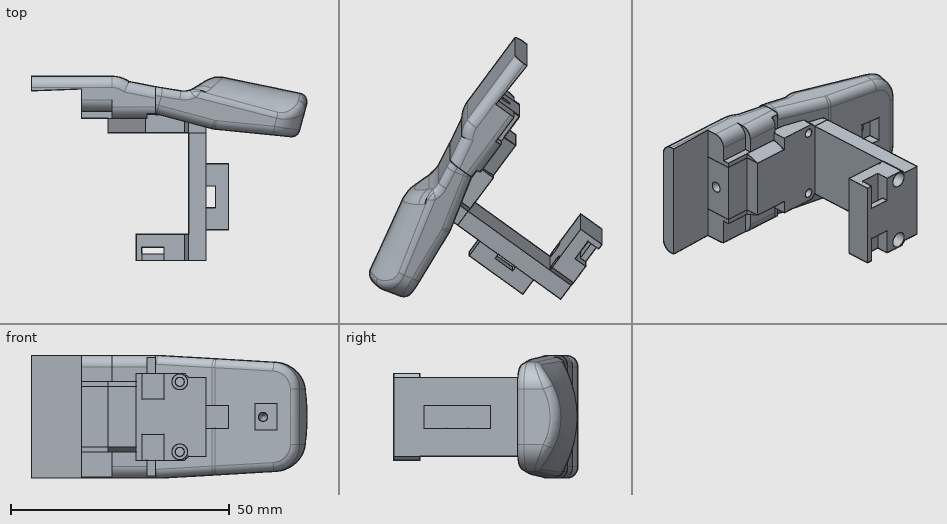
import cadquery as cq
import math

SEAM_X = 28.35
FULL_WIDTH = 28.0
HALF_WIDTH = FULL_WIDTH / 2
BACK_Y = 42.1
SEAM_BACK_Y = 39.7
SEAM_FRONT_Y = 33.55
GRIP_FRONT_Y = 32.5
MOUNT_FRONT_Y = 29.15

FLANGE_LENGTH = 11.4
FLANGE_TIP_Y = 38.7
FLANGE_ROOT_Y = 39.15
BACK_FLAT_LENGTH = 18.45
BACK_SLOPE_X = 22.3
BACK_SLOPE_Y = 40.9
GRIP_FILLET = 5.2 / 2
NOTCH_LENGTH = 1.9
STEP_LENGTH = 7.05
STEP_END_X = FLANGE_LENGTH + STEP_LENGTH
STEP_Y = 34.05
RAIL_HALF_WIDTH = 8.05

TONGUE_HALF_WIDTH = 6.9
TONGUE_HOLE_DIAMETER = 2.5
TONGUE_HOLE_Y = 36.45
TONGUE_HOLE_DEPTH = 7.55

TILT = 15.0
HEAD_LENGTH = 32.8
TAPER_START = 0.25
TAPER_ANGLE = 3.3
CORNER_RADIUS = 6.2
KNEE_U = 13.65
KNEE_ANGLE = 9.3
KNEE_RADIUS = 4.4
VALLEY_X = 35.7
VALLEY_Y = 38.55
VALLEY_RADIUS = 4.4
RAMP_ANGLE = 31.5
RAMP_RADIUS = 5.05
CROWN_EDGE_V = 7.25
CROWN_START_V = 11.35
CROWN_SLOPE = 3.2
CROWN_OVERHANG = 1.9
HEAD_FILLET = 2.0
POCKET_X = 51.05
POCKET_LENGTH = 5.0
POCKET_WIDTH = 6.05
POCKET_FLOOR_Y = 31.6
POCKET_HOLE_X = 52.9
POCKET_HOLE_DEPTH = 3.8
SCREW_DIAMETER = 2.1

MOUNT_X = 17.45
MOUNT_WIDE_X = 26.05
NOTCH_FILL_Y = 33.3
WIDE_HALF_WIDTH = 9.95

PLATE_X = 35.9
PLATE_END_X = 39.9
PLATE_HALF_WIDTH = 9.0
SHOULDER = WIDE_HALF_WIDTH - PLATE_HALF_WIDTH
FOOT_X = 23.9
FOOT_HEIGHT = 6.05
STRAP_X = 25.25
STRAP_LENGTH = 5.0
STRAP_BRIDGE_HALF_WIDTH = 4.0
STRAP_FRONT_Y = 1.5
STRAP_BACK_Y = 3.0
LUG_LENGTH = 5.1
LUG_WIDTH = 5.2
LUG_Y = 7.0
LUG_HEIGHT = 15.2
LUG_SLOT_LENGTH = 2.1
LUG_SLOT_Y = 12.1
LUG_SLOT_HEIGHT = 4.9
SCREW_X = 33.9
SCREW_Z = 8.0
ACCESS_DIAMETER = 3.6


def tangent(degrees):
    return math.tan(math.radians(degrees))


TILT_COS = math.cos(math.radians(TILT))
TILT_SIN = math.sin(math.radians(TILT))
U_DIR = cq.Vector(TILT_COS, -TILT_SIN, 0)
V_DIR = cq.Vector(TILT_SIN, TILT_COS, 0)
HEAD_ORIGIN = cq.Vector(SEAM_X, SEAM_FRONT_Y, 0)
FAR = 75.55
MARGIN = 6.3


def box(x0, x1, y0, y1, z0, z1):
    """Block between two opposite corners."""
    block = cq.Workplane("XY").box(x1 - x0, y1 - y0, z1 - z0, centered=False)
    return block.translate((x0, y0, z0))


def slab(points, half_width):
    """XY outline extruded equally to both sides of Z = 0."""
    return cq.Workplane("XY").polyline(points).close().extrude(half_width, both=True)


def rod_y(x, z, diameter, y0, y1):
    """Cylinder along Y from y0 to y1."""
    return cq.Workplane("XZ", origin=(x, y0, z)).circle(diameter / 2).extrude(y0 - y1)


def cone(mouth_diameter, depth, origin, direction):
    """Pointed hole cutter that narrows from its mouth to a point."""
    return cq.Workplane(
        cq.Solid.makeCone(mouth_diameter / 2, 0, depth, pnt=cq.Vector(origin), dir=cq.Vector(direction))
    )


def edges_between(x0, x1, y0, y1):
    """Selector for edges whose centres lie in an XY range."""
    return cq.selectors.BoxSelector((x0, y0, -FAR), (x1, y1, FAR))


def head_point(u, v):
    """XY position of a point given in the tilted head frame."""
    point = HEAD_ORIGIN + U_DIR * u + V_DIR * v
    return (point.x, point.y)


def head_half_width(u):
    """Half width of the tapered head at a distance along it."""
    return HALF_WIDTH - (u - TAPER_START) * tangent(TAPER_ANGLE)


def make_grip():
    grip = (
        cq.Workplane("XY")
        .moveTo(0, FLANGE_TIP_Y)
        .lineTo(0, BACK_Y)
        .lineTo(BACK_FLAT_LENGTH, BACK_Y)
        .tangentArcPoint((BACK_SLOPE_X, BACK_SLOPE_Y), relative=False)
        .lineTo(SEAM_X, SEAM_BACK_Y)
        .lineTo(SEAM_X, GRIP_FRONT_Y)
        .lineTo(FLANGE_LENGTH, GRIP_FRONT_Y)
        .lineTo(FLANGE_LENGTH, FLANGE_ROOT_Y)
        .close()
        .extrude(HALF_WIDTH, both=True)
    )
    along_z = cq.selectors.ParallelDirSelector(cq.Vector(0, 0, 1))
    back_edges = edges_between(FLANGE_LENGTH / 2, SEAM_X - 0.6, FLANGE_ROOT_Y + 0.6, FAR)
    front_edges = edges_between(FLANGE_LENGTH, SEAM_X - 0.6, 0, GRIP_FRONT_Y + 0.6)
    grip = grip.edges((back_edges + front_edges) - along_z).fillet(GRIP_FILLET)

    tongue_slot = box(
        FLANGE_LENGTH, SEAM_X, GRIP_FRONT_Y, FLANGE_ROOT_Y, -TONGUE_HALF_WIDTH, TONGUE_HALF_WIDTH
    )
    notch = box(SEAM_X - NOTCH_LENGTH, SEAM_X, 0, SEAM_FRONT_Y, -FAR, FAR)
    grip = grip.cut(tongue_slot)
    return grip.cut(notch).cut(make_step_cutters()).union(make_rounded_step()).union(make_gussets())


def make_step_cutters():
    """Recesses beside the two rails; the +Z one leaves room for its rounded step."""
    lower = box(FLANGE_LENGTH, STEP_END_X, 0, STEP_Y, -FAR, -RAIL_HALF_WIDTH)
    upper = box(FLANGE_LENGTH, STEP_END_X, 0, STEP_Y + GRIP_FILLET, RAIL_HALF_WIDTH, FAR)
    return lower.union(upper)


def make_rounded_step():
    """Step on the +Z side, with a rounded outer edge."""
    block = box(
        FLANGE_LENGTH, STEP_END_X, STEP_Y, STEP_Y + GRIP_FILLET, RAIL_HALF_WIDTH, HALF_WIDTH
    )
    corner_z = HALF_WIDTH - GRIP_FILLET
    corner_y = STEP_Y + GRIP_FILLET
    corner = box(FLANGE_LENGTH, STEP_END_X, STEP_Y, corner_y, corner_z, HALF_WIDTH)
    round_bar = (
        cq.Workplane("YZ", origin=(FLANGE_LENGTH, corner_y, corner_z))
        .circle(GRIP_FILLET)
        .extrude(STEP_LENGTH)
    )
    return block.cut(corner.cut(round_bar))


def make_gussets():
    """Wedges that carry the rails along both sides of the mount."""
    upper = (
        cq.Workplane("YZ", origin=(MOUNT_X, 0, 0))
        .polyline(
            [
                (MOUNT_FRONT_Y, TONGUE_HALF_WIDTH),
                (GRIP_FRONT_Y, RAIL_HALF_WIDTH),
                (GRIP_FRONT_Y, TONGUE_HALF_WIDTH),
            ]
        )
        .close()
        .extrude(MOUNT_WIDE_X - MOUNT_X)
    )
    return upper.union(upper.mirror("XY"))


def make_head_plan():
    """Tapered outline with a rounded end, extruded across the tilted plane."""
    end_half_width = head_half_width(HEAD_LENGTH)
    plane = cq.Plane(origin=HEAD_ORIGIN, xDir=U_DIR, normal=V_DIR)
    plan = (
        cq.Workplane(plane)
        .polyline(
            [
                (-MARGIN, HALF_WIDTH),
                (TAPER_START, HALF_WIDTH),
                (HEAD_LENGTH, end_half_width),
                (HEAD_LENGTH, -end_half_width),
                (TAPER_START, -HALF_WIDTH),
                (-MARGIN, -HALF_WIDTH),
            ]
        )
        .close()
        .extrude(HEAD_LENGTH, both=True)
    )
    along_v = cq.selectors.ParallelDirSelector(V_DIR)
    end_corners = edges_between(SEAM_X + HEAD_LENGTH / 2, FAR, -FAR, FAR)
    return plan.edges(along_v & end_corners).fillet(CORNER_RADIUS)


def crown_section(u):
    """Cross-section of the head under its arched back."""
    half_width = head_half_width(u)
    top = CROWN_START_V + u * tangent(CROWN_SLOPE)
    sag = top - CROWN_EDGE_V
    radius = (half_width**2 + sag**2) / (2 * sag)
    reach = half_width + CROWN_OVERHANG
    reach_v = top - radius + math.sqrt(radius**2 - reach**2)
    bottom = -2 * HEAD_LENGTH
    plane = cq.Plane(
        origin=HEAD_ORIGIN + U_DIR * u, xDir=(0, 0, 1), normal=cq.Vector(0, 0, 1).cross(V_DIR)
    )
    return (
        cq.Workplane(plane)
        .moveTo(-reach, bottom)
        .lineTo(-reach, reach_v)
        .threePointArc((0, top), (reach, reach_v))
        .lineTo(reach, bottom)
        .close()
        .val()
    )


def make_crowned_plan(plan):
    """Head outline with its arched back and the rounded rim around it."""
    sections = [crown_section(-MARGIN), crown_section(HEAD_LENGTH + MARGIN)]
    crowned = plan.intersect(cq.Workplane(cq.Solid.makeLoft(sections, True)))
    along_v = cq.selectors.ParallelDirSelector(V_DIR)
    rim = edges_between(SEAM_X + TAPER_START, FAR, MOUNT_FRONT_Y, FAR)
    return crowned.edges(rim - along_v).fillet(HEAD_FILLET)


def make_neck_profile(plan):
    """Side profile of the head with neck and ramp, cut to the outline and rounded."""
    end_u = HEAD_LENGTH + MARGIN
    knee = head_point(KNEE_U, 0)
    ramp_run = MARGIN / tangent(RAMP_ANGLE)
    profile = slab(
        [
            (SEAM_X, SEAM_FRONT_Y),
            knee,
            head_point(end_u, (end_u - KNEE_U) * tangent(KNEE_ANGLE)),
            head_point(end_u, FAR / 4),
            (VALLEY_X + ramp_run, VALLEY_Y + MARGIN),
            (VALLEY_X, VALLEY_Y),
            (SEAM_X, SEAM_BACK_Y),
        ],
        HALF_WIDTH,
    )
    nearest = cq.selectors.NearestToPointSelector
    profile = profile.edges(nearest((VALLEY_X, VALLEY_Y, 0))).fillet(VALLEY_RADIUS)
    profile = profile.edges(nearest((*knee, 0))).fillet(KNEE_RADIUS)
    profile = profile.intersect(plan)

    along_v = cq.selectors.ParallelDirSelector(V_DIR)
    along_z = cq.selectors.ParallelDirSelector(cq.Vector(0, 0, 1))
    front_rim = edges_between(SEAM_X, FAR, 0, SEAM_FRONT_Y) - along_v - along_z
    front_end = edges_between(POCKET_X + POCKET_LENGTH, FAR, 0, MOUNT_FRONT_Y)
    profile = profile.edges(front_rim + front_end).fillet(HEAD_FILLET)
    back_rim = edges_between(SEAM_X + 0.6, VALLEY_X + ramp_run, VALLEY_Y, FAR) - along_z
    return profile.edges(back_rim - along_v).fillet(HEAD_FILLET)


def make_head():
    plan = make_head_plan()
    head = make_neck_profile(plan).intersect(make_crowned_plan(plan))
    ramp_top = edges_between(VALLEY_X, PLATE_END_X + 0.6, VALLEY_Y + 1.9, FAR)
    head = head.edges(ramp_top).fillet(RAMP_RADIUS)

    pocket = box(
        POCKET_X, POCKET_X + POCKET_LENGTH, 0, POCKET_FLOOR_Y, -POCKET_WIDTH / 2, POCKET_WIDTH / 2
    )
    hole = cone(SCREW_DIAMETER, POCKET_HOLE_DEPTH, (POCKET_HOLE_X, POCKET_FLOOR_Y, 0), (0, 1, 0))
    return head.cut(pocket).cut(hole)


def make_shoulders(y0, y1):
    """Cutters that narrow the bracket stack to the plate width, with a chamfered shoulder."""
    start = PLATE_X - SHOULDER
    upper = (
        cq.Workplane("XZ", origin=(0, y0, 0))
        .polyline(
            [
                (start, WIDE_HALF_WIDTH),
                (PLATE_X, PLATE_HALF_WIDTH),
                (FAR, PLATE_HALF_WIDTH),
                (FAR, WIDE_HALF_WIDTH),
            ]
        )
        .close()
        .extrude(y0 - y1)
    )
    return upper.union(upper.mirror("XY"))


def make_mount():
    fill_end_x = SEAM_X + (SEAM_FRONT_Y - NOTCH_FILL_Y) / tangent(TILT)
    end_y = SEAM_FRONT_Y - (PLATE_END_X - SEAM_X) * tangent(TILT)
    notch_x = SEAM_X - NOTCH_LENGTH
    wide = slab(
        [
            (MOUNT_WIDE_X, MOUNT_FRONT_Y),
            (PLATE_END_X, MOUNT_FRONT_Y),
            (PLATE_END_X, end_y),
            (fill_end_x, NOTCH_FILL_Y),
            (notch_x, NOTCH_FILL_Y),
            (notch_x, GRIP_FRONT_Y),
            (MOUNT_WIDE_X, GRIP_FRONT_Y),
        ],
        WIDE_HALF_WIDTH,
    )
    wide = wide.cut(make_shoulders(MOUNT_FRONT_Y, SEAM_FRONT_Y))
    front = box(
        MOUNT_X, MOUNT_WIDE_X, MOUNT_FRONT_Y, GRIP_FRONT_Y, -TONGUE_HALF_WIDTH, TONGUE_HALF_WIDTH
    )
    tongue = box(
        FLANGE_LENGTH, SEAM_X, GRIP_FRONT_Y, FLANGE_ROOT_Y, -TONGUE_HALF_WIDTH, TONGUE_HALF_WIDTH
    )
    tongue = tongue.cut(
        cone(TONGUE_HOLE_DIAMETER, TONGUE_HOLE_DEPTH, (FLANGE_LENGTH, TONGUE_HOLE_Y, 0), (1, 0, 0))
    )
    mount = wide.union(front).union(tongue)
    for z in (-SCREW_Z, SCREW_Z):
        mount = mount.cut(rod_y(SCREW_X, z, SCREW_DIAMETER, 0, BACK_Y))
    return mount


def make_bracket():
    plate = box(PLATE_X, PLATE_END_X, 0, MOUNT_FRONT_Y, -PLATE_HALF_WIDTH, PLATE_HALF_WIDTH)
    foot = box(FOOT_X, PLATE_X, 0, FOOT_HEIGHT, -WIDE_HALF_WIDTH, WIDE_HALF_WIDTH)
    foot = foot.cut(make_shoulders(0, FOOT_HEIGHT))
    strap_end = STRAP_X + STRAP_LENGTH
    foot = foot.cut(box(STRAP_X, strap_end, STRAP_FRONT_Y, STRAP_BACK_Y, -FAR, FAR))
    for z0, z1 in ((STRAP_BRIDGE_HALF_WIDTH, FAR), (-FAR, -STRAP_BRIDGE_HALF_WIDTH)):
        foot = foot.cut(box(STRAP_X, strap_end, 0, STRAP_FRONT_Y, z0, z1))

    bracket = plate.union(foot)
    for z in (-SCREW_Z, SCREW_Z):
        bracket = bracket.cut(rod_y(SCREW_X, z, ACCESS_DIAMETER, 0, FOOT_HEIGHT))
    return bracket


def make_lug():
    """Staple on the plate, with a strap slot against the plate."""
    end_x = PLATE_END_X + LUG_LENGTH
    slot_end_x = PLATE_END_X + LUG_SLOT_LENGTH
    lug = box(PLATE_END_X, end_x, LUG_Y, LUG_Y + LUG_HEIGHT, -LUG_WIDTH / 2, LUG_WIDTH / 2)
    slot = box(PLATE_END_X, slot_end_x, LUG_SLOT_Y, LUG_SLOT_Y + LUG_SLOT_HEIGHT, -FAR, FAR)
    return lug.cut(slot)


grip = make_grip()
head = make_head()
mount = make_mount()
bracket = make_bracket()
lug = make_lug()

result = cq.Compound.makeCompound(
    [grip.val(), head.val(), mount.val(), bracket.val(), lug.val()]
)